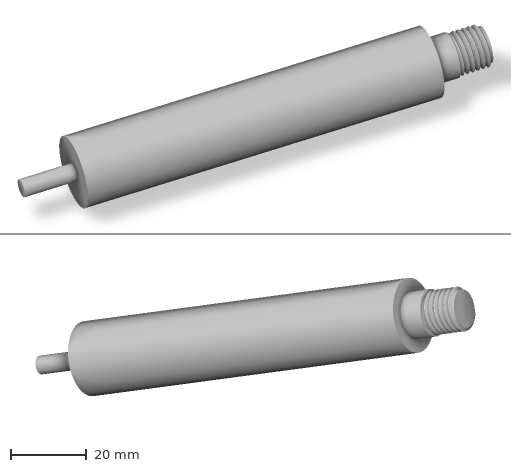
import cadquery as cq

rod_diameter = 5.0
rod_length = 15.0
body_diameter = 20.0
body_length = 102.0
neck_diameter = 12.7
neck_length = 6.2
thread_length = 9.8
total_length = rod_length + body_length + neck_length + thread_length

thread_diameter = 12.0
thread_pitch = 1.5
thread_depth = 0.85
crest_width = 0.2
root_width = 0.2
root_diameter = thread_diameter - 2 * thread_depth
first_crest_offset = 0.45
ridge_overlap = 0.1

rod_end = -total_length / 2
body_start = rod_end + rod_length
neck_start = body_start + body_length
thread_start = neck_start + neck_length
thread_end = thread_start + thread_length


def cylinder_along_y(diameter, start, end):
    """Cylinder on the Y axis between two Y positions."""
    return cq.Workplane("XZ", origin=(0, start, 0)).circle(diameter / 2).extrude(start - end)


def thread_ridge():
    """Helical ridge that winds from the free end, on the -X side, into the neck.

    It is wound about Z, upward from the XY plane starting on +X, then turned
    so that its axis lies on the Y axis and its start at the free end on -X.
    """
    turns = int(thread_length / thread_pitch) + 1
    sunk_radius = root_diameter / 2 - ridge_overlap
    base_width = thread_pitch - root_width
    flank_run = (base_width - crest_width) / 2
    sunk_half_width = base_width / 2 + flank_run * ridge_overlap / thread_depth

    path = cq.Wire.makeHelix(thread_pitch, turns * thread_pitch, sunk_radius)
    ridge = (
        cq.Workplane("XZ")
        .moveTo(sunk_radius, -sunk_half_width)
        .lineTo(thread_diameter / 2, -crest_width / 2)
        .lineTo(thread_diameter / 2, crest_width / 2)
        .lineTo(sunk_radius, sunk_half_width)
        .close()
        .sweep(cq.Workplane(path), isFrenet=True)
    )
    return (
        ridge.rotate((0, 0, 0), (1, 0, 0), 90)
        .rotate((0, 0, 0), (0, 1, 0), 180)
        .translate((0, thread_end - first_crest_offset, 0))
    )


def threaded_end():
    """Thread core with its helical ridge, cut flat at the free end.

    The core reaches back through the neck so that the ridge's far end lies on it.
    """
    core = cylinder_along_y(root_diameter, neck_start, thread_end)
    envelope = cylinder_along_y(neck_diameter, neck_start, thread_end)
    return core.union(thread_ridge().intersect(envelope))


rod = cylinder_along_y(rod_diameter, rod_end, body_start)
body = cylinder_along_y(body_diameter, body_start, neck_start)
neck = cylinder_along_y(neck_diameter, neck_start, thread_start)

result = rod.union(body).union(neck).union(threaded_end())